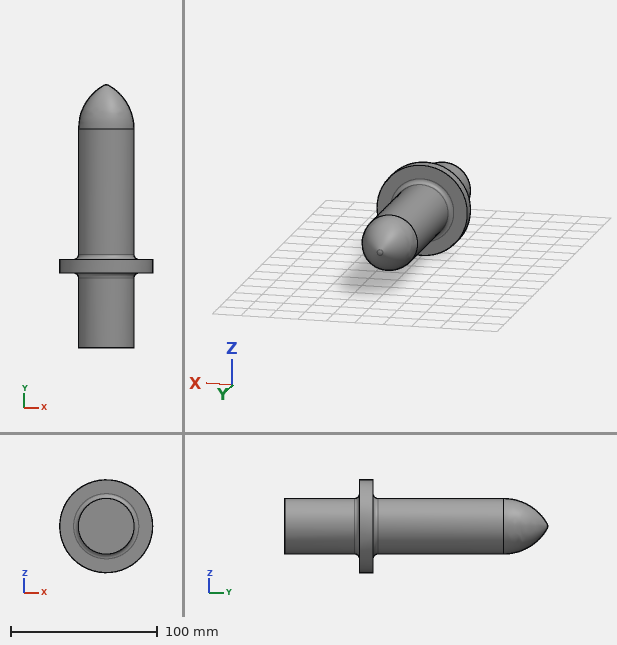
import cadquery as cq
import math

total_length = 179.4
shaft_radius = 19.0
flange_radius = 31.8
flange_thickness = 9.3
fillet_radius = 3.2
front_length = 51.0
nose_length = 30.1
tip_radius = 2.0
tip_height = 0.5

front_y = -total_length / 2
flange_front_y = front_y + front_length
flange_back_y = flange_front_y + flange_thickness
tip_y = total_length / 2
tip_rim_y = tip_y - tip_height
nose_base_y = tip_y - nose_length


def revolve_about_y(profile):
    """Turn a closed half profile in the XY plane into a round solid."""
    return profile.close().revolve(360, (0, 0, 0), (0, 1, 0))


def make_shaft():
    """Cylindrical shaft with an integral flange, filleted on both sides."""
    fillet_edge = shaft_radius + fillet_radius
    middle_offset = fillet_radius * (1 - math.sqrt(0.5))
    fillet_middle = shaft_radius + middle_offset
    profile = (
        cq.Workplane("XY")
        .moveTo(0, front_y)
        .lineTo(shaft_radius, front_y)
        .lineTo(shaft_radius, flange_front_y - fillet_radius)
        .threePointArc((fillet_middle, flange_front_y - middle_offset), (fillet_edge, flange_front_y))
        .lineTo(flange_radius, flange_front_y)
        .lineTo(flange_radius, flange_back_y)
        .lineTo(fillet_edge, flange_back_y)
        .threePointArc(
            (fillet_middle, flange_back_y + middle_offset),
            (shaft_radius, flange_back_y + fillet_radius),
        )
        .lineTo(shaft_radius, nose_base_y)
        .lineTo(0, nose_base_y)
    )
    return revolve_about_y(profile)


def make_nose():
    """Bullet nose whose arc leaves the shaft tangentially and ends at a small domed tip."""
    radial_drop = shaft_radius - tip_radius
    arc_rise = tip_rim_y - nose_base_y
    arc_radius = (arc_rise**2 + radial_drop**2) / (2 * radial_drop)
    arc_centre_x = shaft_radius - arc_radius
    half_sweep = math.asin(arc_rise / arc_radius) / 2
    arc_middle = (
        arc_centre_x + arc_radius * math.cos(half_sweep),
        nose_base_y + arc_radius * math.sin(half_sweep),
    )

    dome_radius = (tip_radius**2 + tip_height**2) / (2 * tip_height)
    dome_half_sweep = math.asin(tip_radius / dome_radius) / 2
    dome_middle = (
        dome_radius * math.sin(dome_half_sweep),
        tip_y - dome_radius * (1 - math.cos(dome_half_sweep)),
    )
    profile = (
        cq.Workplane("XY")
        .moveTo(0, nose_base_y)
        .lineTo(shaft_radius, nose_base_y)
        .threePointArc(arc_middle, (tip_radius, tip_rim_y))
        .threePointArc(dome_middle, (0, tip_y))
    )
    return revolve_about_y(profile)


shaft = make_shaft()
nose = make_nose()

result = cq.Compound.makeCompound([shaft.val(), nose.val()])